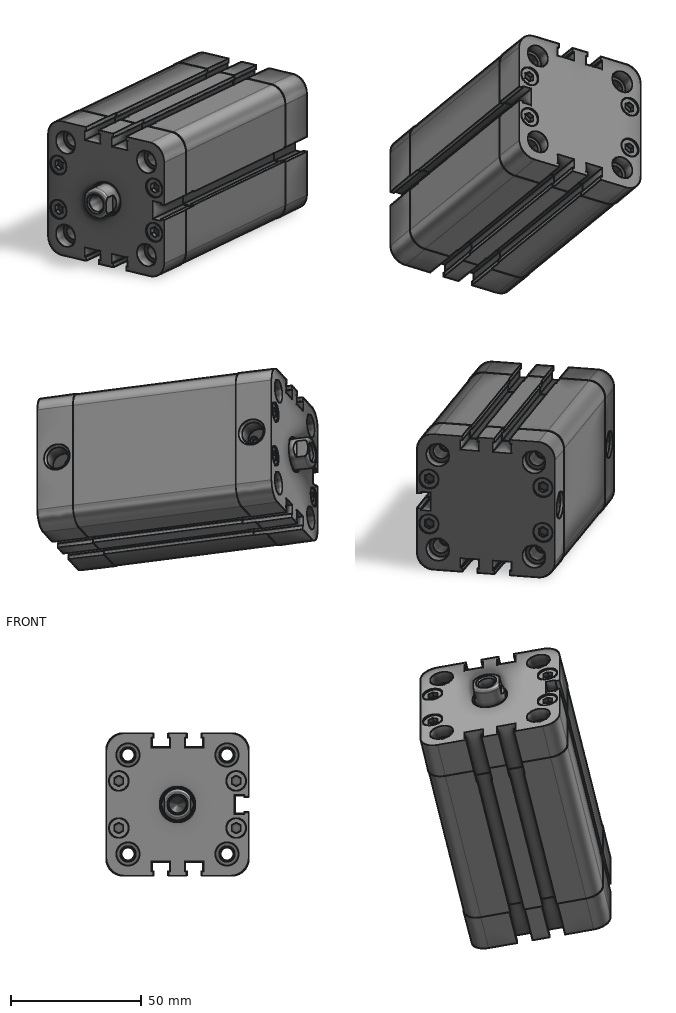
import cadquery as cq
import math


total_length = 102.0
rod_projection = 7.0
body_length = total_length - rod_projection
middle_y = body_length / 2
cap_length = 14.5
cap_seam_side = 54.8
cap_draft = 0.12
cap_end_side = cap_seam_side - 2 * cap_draft
tube_side = 54.4
corner_centre = 20.6

slot_pitch = 12.8
slot_opening = 5.4
slot_cavity = 6.7
slot_lip_depth = 25.6
slot_floor = 22.1
slot_clearance = 0.3
entry_length = 5.4

rod_diameter = 12.0
rod_tip_radius = 1.2
rod_flat_width = 10.1
rod_flat_length = 4.5
rod_thread_diameter = 8.0
rod_core_diameter = 6.6
rod_core_depth = 12.2
drill_tip_angle = 118.0
rod_bore_diameter = 12.5
rod_bore_rim_diameter = 13.8
rod_bore_depth = 2.0

mount_pitch = 37.9
mount_counterbore_diameter = 9.0
mount_counterbore_depth = 5.0
mount_thread_diameter = 6.0
mount_hole_diameter = 4.9

screw_pitch_x = 45.0
screw_pitch_z = 18.1
screw_recess_diameter = 7.6
screw_head_diameter = 7.4
screw_recess_depth = 4.0
screw_head_drop = 0.5
hex_across_flats = 3.6
hex_depth = 2.0

port_setback = 8.0
port_rim_diameter = 10.6
port_diameter = 8.6
port_depth = 8.2
air_hole_diameter = 3.0
air_hole_offset = 2.0
air_hole_depth = 3.1



def section(y):
    """Workplane across the cylinder at position y, with local axes X and Z."""
    return cq.Workplane("XZ", origin=(0, y, 0))


def rod_y(y, length, diameter, x=0.0, z=0.0):
    """Round bar starting at y and running towards +Y."""
    return section(y).center(x, z).circle(diameter / 2).extrude(-length)


def cone_y(y, start_diameter, end_diameter, length):
    """Cone on the cylinder axis, starting at y and running towards +Y."""
    return cq.Workplane(
        cq.Solid.makeCone(
            start_diameter / 2, end_diameter / 2, length, cq.Vector(0, y, 0), cq.Vector(0, 1, 0)
        )
    )


def rounded_square(side):
    """Square outline whose corner roundings share one centre for all sizes."""
    radius = side / 2 - corner_centre
    return cq.Sketch().rect(side, side).vertices().fillet(radius)


def at_both_ends(shape):
    """The shape together with its mirror image at the other end of the body."""
    return shape.union(shape.mirror("XZ", (0, middle_y, 0)))


def make_body():
    cap = section(0).placeSketch(
        rounded_square(cap_end_side),
        rounded_square(cap_seam_side).moved(cq.Location(cq.Vector(0, 0, -cap_length))),
    ).loft()
    tube_length = body_length - 2 * cap_length
    tube = section(cap_length).placeSketch(rounded_square(tube_side)).extrude(-tube_length)
    return tube.union(at_both_ends(cap))


def slot_cutter(y, length, clearance):
    """T-slot for the +Z side, centred on x = 0."""
    opening = slot_opening + 2 * clearance
    cavity = slot_cavity + 2 * clearance
    floor = slot_floor - clearance
    neck = section(y).center(0, (floor + cap_seam_side) / 2)
    chamber = section(y).center(0, (floor + slot_lip_depth) / 2)
    return (
        neck.rect(opening, cap_seam_side - floor).extrude(-length)
        .union(chamber.rect(cavity, slot_lip_depth - floor).extrude(-length))
    )


def make_slots():
    rear_cap_start = body_length - cap_length
    slot = (
        slot_cutter(0, body_length, 0)
        .union(slot_cutter(0, cap_length + entry_length, slot_clearance))
        .union(slot_cutter(rear_cap_start, cap_length, slot_clearance))
    )
    slots = slot.rotate((0, 0, 0), (0, 1, 0), 90)
    for side_angle in (0, 180):
        for x in (-slot_pitch / 2, slot_pitch / 2):
            slots = slots.union(slot.translate((x, 0, 0)).rotate((0, 0, 0), (0, 1, 0), side_angle))
    return slots


def make_mounting_hole(x, z):
    counterbore = rod_y(0, mount_counterbore_depth, mount_counterbore_diameter, x, z)
    thread = rod_y(0, cap_length, mount_thread_diameter, x, z)
    through = rod_y(0, body_length, mount_hole_diameter, x, z)
    return at_both_ends(counterbore.union(thread)).union(through)


def make_screw_recess(x, z):
    """Space around one tie screw head, including its hexagon socket."""
    recess = rod_y(0, screw_recess_depth, screw_recess_diameter, x, z)
    head = rod_y(screw_head_drop, screw_recess_depth, screw_head_diameter, x, z)
    corner_diameter = hex_across_flats / math.cos(math.pi / 6)
    socket = (
        section(0).center(x, z)
        .transformed(rotate=(0, 0, 90))
        .polygon(6, corner_diameter)
        .extrude(-(screw_head_drop + hex_depth))
    )
    return at_both_ends(recess.cut(head).union(socket))


def make_port():
    """Threaded port with a countersunk rim and an offset air hole in its floor."""
    face_x = -cap_seam_side / 2
    rim_depth = (port_rim_diameter - port_diameter) / 2
    centre = cq.Vector(face_x, port_setback, 0)
    inward = cq.Vector(1, 0, 0)
    air_start = cq.Vector(face_x + port_depth, port_setback + air_hole_offset, 0)
    rim = cq.Solid.makeCone(port_rim_diameter / 2, port_diameter / 2, rim_depth, centre, inward)
    bore = cq.Solid.makeCylinder(port_diameter / 2, port_depth, centre, inward)
    air_hole = cq.Solid.makeCylinder(air_hole_diameter / 2, air_hole_depth, air_start, inward)
    return at_both_ends(cq.Workplane(rim).union(cq.Workplane(bore)).union(cq.Workplane(air_hole)))


def make_rod_bore():
    rim_depth = (rod_bore_rim_diameter - rod_bore_diameter) / 2
    bore = rod_y(0, rod_bore_depth, rod_bore_diameter)
    return bore.union(cone_y(0, rod_bore_rim_diameter, rod_bore_diameter, rim_depth))


def make_rod():
    """Rod end with a rounded tip and two wrench flats that run out at 45 degrees."""
    rod = rod_y(-rod_projection, rod_projection + rod_bore_depth, rod_diameter)
    rod = rod.faces("<Y").edges().fillet(rod_tip_radius)
    flat_x = rod_flat_width / 2
    flat_end = rod_flat_length - rod_projection
    flat_depth = rod_diameter / 2 - flat_x
    flat = (
        cq.Workplane("XY", origin=(0, 0, -rod_diameter / 2))
        .moveTo(flat_x, -rod_projection)
        .lineTo(flat_x, flat_end)
        .lineTo(flat_x + flat_depth, flat_end + flat_depth)
        .lineTo(flat_x + flat_depth, -rod_projection)
        .close()
        .extrude(rod_diameter)
    )
    return rod.cut(flat).cut(flat.mirror("YZ"))


def make_rod_hole():
    """Threaded hole in the rod tip with a countersink and a drilled bottom."""
    countersink_depth = (rod_thread_diameter - rod_core_diameter) / 2
    tip_length = rod_core_diameter / 2 / math.tan(math.radians(drill_tip_angle / 2))
    hole = rod_y(-rod_projection, rod_core_depth, rod_core_diameter)
    countersink = cone_y(-rod_projection, rod_thread_diameter, rod_core_diameter, countersink_depth)
    drill_tip = cone_y(rod_core_depth - rod_projection, rod_core_diameter, 0, tip_length)
    return hole.union(countersink).union(drill_tip)


result = make_body().cut(make_slots())
for side_x in (-0.5, 0.5):
    for side_z in (-0.5, 0.5):
        result = result.cut(make_mounting_hole(side_x * mount_pitch, side_z * mount_pitch))
        result = result.cut(make_screw_recess(side_x * screw_pitch_x, side_z * screw_pitch_z))
result = result.cut(make_port())
result = result.cut(make_rod_bore()).union(make_rod()).cut(make_rod_hole())